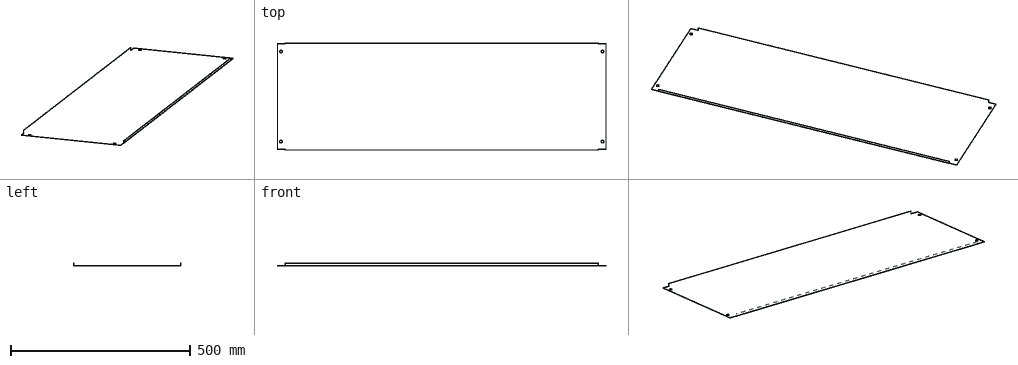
import cadquery as cq

length = 917.0
width = 299.0
height = 8.0
thickness = 1.0

flange_end_setback = 22.0
flange_length = length - 2 * flange_end_setback
inner_bend_radius = 1.0
outer_bend_radius = inner_bend_radius + thickness

plate_width = width - 2 * outer_bend_radius

hole_diameter = 7.0
hole_end_inset = 10.0
hole_side_inset = 24.0
hole_spacing_x = length - 2 * hole_end_inset
hole_spacing_y = width - 2 * hole_side_inset


def make_plate():
    """Flat floor with its underside on Z = 0."""
    return cq.Workplane("XY").box(length, plate_width, thickness, centered=(True, True, False))


def make_bent_channel():
    """Floor and two upright flanges with concentric bend radii."""
    inner_width = width - 2 * thickness
    outer = (
        cq.Workplane("XY")
        .box(flange_length, width, height, centered=(True, True, False))
        .edges("|X and <Z")
        .fillet(outer_bend_radius)
    )
    cavity = (
        cq.Workplane("XY")
        .workplane(offset=thickness)
        .box(flange_length, inner_width, height, centered=(True, True, False))
        .edges("|X and <Z")
        .fillet(inner_bend_radius)
    )
    return outer.cut(cavity)


def make_holes():
    """Cylinders that pierce the floor near its four corners."""
    return (
        cq.Workplane("XY")
        .rect(hole_spacing_x, hole_spacing_y, forConstruction=True)
        .vertices()
        .circle(hole_diameter / 2)
        .extrude(thickness)
    )


result = make_plate().union(make_bent_channel()).cut(make_holes())